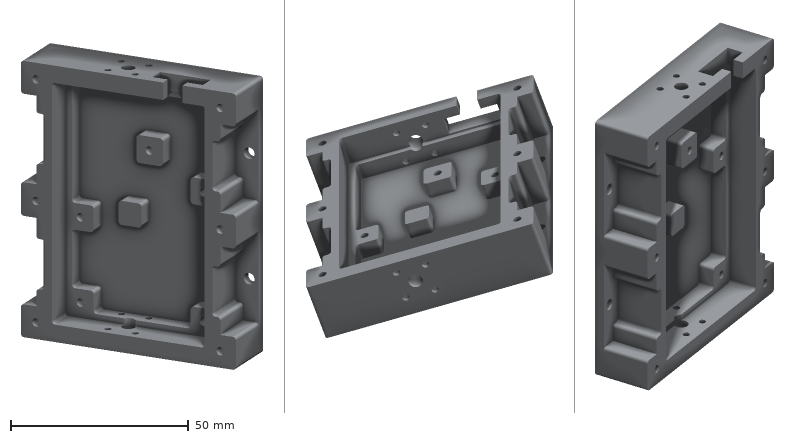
import cadquery as cq

WIDTH = 67.7
DEPTH = 17.5
HEIGHT = 82.3
OPEN_Y = -DEPTH / 2
BACK_Y = DEPTH / 2
EDGE_RADIUS = 1.0

CAVITY_WIDTH = 48.1
CAVITY_HEIGHT = 71.95
LEDGE_DEPTH = 8.65
INNER_WIDTH = 43.9
INNER_HEIGHT = 68.25
FLOOR_THICKNESS = 4.0
LEDGE_Y = OPEN_Y + LEDGE_DEPTH
FLOOR_Y = BACK_Y - FLOOR_THICKNESS

FLANGE_THICKNESS = 3.0
FLANGE_Y = BACK_Y - FLANGE_THICKNESS
POCKET_WALL_X = 29.0
POCKET_Z_MIN = 5.0
POCKET_Z_MAX = 31.4
RECESS_WALL_X = 26.4
RECESS_CENTER_Z = 18.7
RECESS_LENGTH = 15.0

LUG_HOLE_DIAMETER = 2.5
LUG_HOLE_Z = 36.2
FLANGE_HOLE_DIAMETER = 3.4
FLANGE_HOLE_X = 30.9

BOSS_HOLE_DIAMETER = 2.5
FREE_BOSS_X = 2.5
FREE_BOSS_Z = 17.0
FREE_BOSS_SIZE = 8.3
LEFT_BOSS_EDGE_X = -15.15
RIGHT_BOSS_EDGE_X = 15.4
SIDE_BOSS_LENGTH = 8.0
LEFT_BOSS_Z = -6.0
RIGHT_BOSS_Z = 7.1
CORNER_BOSS_TOP_Z = -27.4
LEFT_BOSS_HOLE_X = -19.3
RIGHT_BOSS_HOLE_X = 19.5
CORNER_BOSS_HOLE_Z = -31.45
POST_Z = -2.8
POST_SIZE = 7.2

CONNECTOR_X = -3.7
CONNECTOR_Y = -1.2
CONNECTOR_DIAMETER = 4.1
SCREW_DIAMETER = 2.05
SCREW_SPACING = 8.65

SLOT_X = 14.0
SLOT_WIDTH = 16.0
SLOT_BACK_DEPTH = 8.1
SLOT_STEM_WIDTH = 6.2
SLOT_STEM_DEPTH = 3.05


def box(x_range, y_range, z_range):
    """Axis-aligned box given as (min, max) pairs."""
    size = [high - low for low, high in (x_range, y_range, z_range)]
    corner = (x_range[0], y_range[0], z_range[0])
    return cq.Workplane("XY").box(*size, centered=False).translate(corner)


def centered(middle, length):
    """(min, max) pair of a length about its middle."""
    return (middle - length / 2, middle + length / 2)


def rounded(solid):
    """Fillet every edge that runs along Y."""
    return solid.edges("|Y").fillet(EDGE_RADIUS)


def y_holes(points, diameter):
    """Cylinders along the whole depth at the given (x, z) points."""
    plane = cq.Workplane("XZ", origin=(0, BACK_Y, 0))
    return plane.pushPoints(points).circle(diameter / 2).extrude(DEPTH)


def z_holes(points, diameter):
    """Cylinders along the whole height at the given (x, y) points."""
    plane = cq.Workplane("XY", origin=(0, 0, -HEIGHT / 2))
    return plane.pushPoints(points).circle(diameter / 2).extrude(HEIGHT)


def round_pocket_edge(solid, x, z):
    """Fillet the edge along Y at (x, z), between the open face and the flange."""
    middle_y = (OPEN_Y + FLANGE_Y) / 2
    nearest = cq.selectors.NearestToPointSelector((x, middle_y, z))
    return solid.edges("|Y").edges(nearest).fillet(EDGE_RADIUS)


def side_pocket(side, end):
    """Pocket and recess on one side (-1 or 1 in X) and one half (-1 or 1 in Z)."""
    y_range = (OPEN_Y, FLANGE_Y)
    pocket_x = sorted((side * POCKET_WALL_X, side * WIDTH / 2))
    recess_x = sorted((side * RECESS_WALL_X, side * WIDTH / 2))
    pocket_z = sorted((end * POCKET_Z_MIN, end * POCKET_Z_MAX))
    recess_z = centered(end * RECESS_CENTER_Z, RECESS_LENGTH)
    recess = rounded(box(recess_x, y_range, recess_z))
    pocket = box(pocket_x, y_range, pocket_z).union(recess)
    for z in recess_z:
        pocket = round_pocket_edge(pocket, side * POCKET_WALL_X, z)
    return pocket


def cavity():
    upper = rounded(
        box(centered(0, CAVITY_WIDTH), (OPEN_Y, LEDGE_Y), centered(0, CAVITY_HEIGHT))
    )
    inner_x = centered(0, INNER_WIDTH)
    inner_z = centered(0, INNER_HEIGHT)
    y_range = (LEDGE_Y, FLOOR_Y)
    left = (inner_x[0], LEFT_BOSS_EDGE_X)
    right = (RIGHT_BOSS_EDGE_X, inner_x[1])
    corner_z = (inner_z[0], CORNER_BOSS_TOP_Z)
    lower = box(inner_x, y_range, inner_z)
    lower = lower.cut(box(left, y_range, centered(LEFT_BOSS_Z, SIDE_BOSS_LENGTH)))
    lower = lower.cut(box(right, y_range, centered(RIGHT_BOSS_Z, SIDE_BOSS_LENGTH)))
    lower = lower.cut(box(left, y_range, corner_z))
    lower = lower.cut(box(right, y_range, corner_z))
    lower = rounded(lower)
    for x, z, size in (
        (FREE_BOSS_X, FREE_BOSS_Z, FREE_BOSS_SIZE),
        (CONNECTOR_X, POST_Z, POST_SIZE),
    ):
        lower = lower.cut(rounded(box(centered(x, size), y_range, centered(z, size))))
    return upper.union(lower)


def t_slot():
    z_range = (CAVITY_HEIGHT / 2, HEIGHT / 2)
    stem_y = OPEN_Y + SLOT_STEM_DEPTH
    stem = box(centered(SLOT_X, SLOT_STEM_WIDTH), (OPEN_Y, stem_y), z_range)
    head = box(centered(SLOT_X, SLOT_WIDTH), (stem_y, OPEN_Y + SLOT_BACK_DEPTH), z_range)
    return stem.union(head)


body = rounded(box(centered(0, WIDTH), (OPEN_Y, BACK_Y), centered(0, HEIGHT)))

for side in (-1, 1):
    for end in (-1, 1):
        body = body.cut(side_pocket(side, end))
        for z in (POCKET_Z_MIN, POCKET_Z_MAX):
            body = round_pocket_edge(body, side * WIDTH / 2, end * z)

body = body.cut(cavity()).cut(t_slot())

lug_points = [
    (x, z)
    for x in (-POCKET_WALL_X, POCKET_WALL_X)
    for z in (-LUG_HOLE_Z, 0, LUG_HOLE_Z)
]
flange_points = [
    (x, z)
    for x in (-FLANGE_HOLE_X, FLANGE_HOLE_X)
    for z in (-RECESS_CENTER_Z, RECESS_CENTER_Z)
]
boss_points = [
    (FREE_BOSS_X, FREE_BOSS_Z),
    (LEFT_BOSS_HOLE_X, LEFT_BOSS_Z),
    (RIGHT_BOSS_HOLE_X, RIGHT_BOSS_Z),
    (LEFT_BOSS_HOLE_X, CORNER_BOSS_HOLE_Z),
    (RIGHT_BOSS_HOLE_X, CORNER_BOSS_HOLE_Z),
]
body = body.cut(y_holes(lug_points, LUG_HOLE_DIAMETER))
body = body.cut(y_holes(flange_points, FLANGE_HOLE_DIAMETER))
body = body.cut(y_holes(boss_points, BOSS_HOLE_DIAMETER))

screw_points = [
    (x, y)
    for x in centered(CONNECTOR_X, SCREW_SPACING)
    for y in centered(CONNECTOR_Y, SCREW_SPACING)
]
end_wall_holes = z_holes([(CONNECTOR_X, CONNECTOR_Y)], CONNECTOR_DIAMETER)
end_wall_holes = end_wall_holes.union(z_holes(screw_points, SCREW_DIAMETER))
end_wall_holes = end_wall_holes.cut(
    box(centered(0, WIDTH), (OPEN_Y, BACK_Y), centered(0, INNER_HEIGHT))
)
result = body.cut(end_wall_holes)